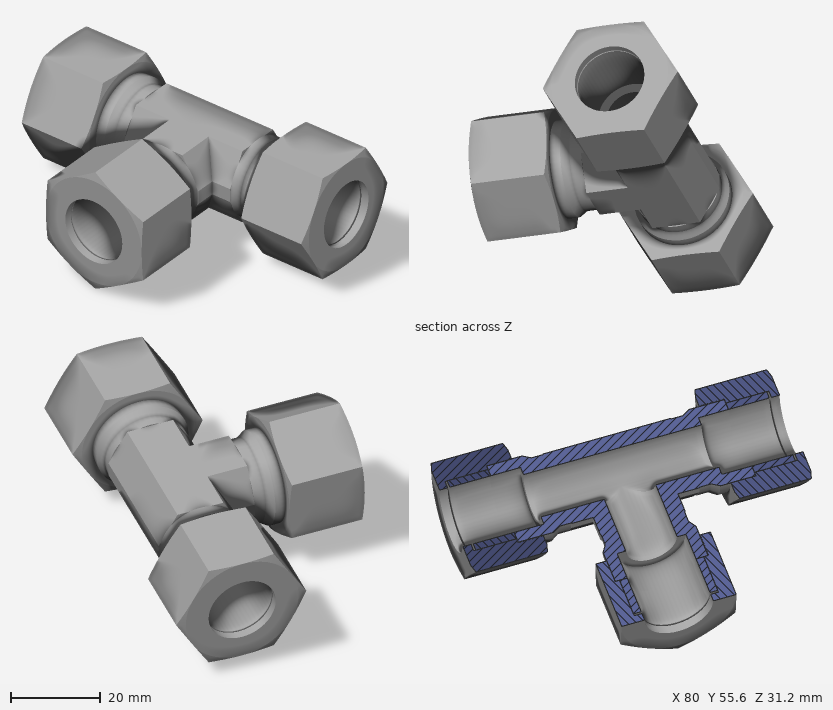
import cadquery as cq
import math

ARM_ANGLES = [0, 180, -90]
NUT_TURNS = [0, 0, 30]
RUN_LENGTH = 80.0
ARM_LENGTH = RUN_LENGTH / 2
COS_30 = math.cos(math.radians(30))

BLOCK_ACROSS_FLATS = 19.0
BLOCK_WIDTH = 20.0
BLOCK_REACH = 15.0

NECK_RADIUS = 9.8
NECK_END = 17.8
THREAD_RADIUS = 22.0 / 2
THREAD_START = 19.6
STUB_END = 28.0

FLOW_RADIUS = 12.0 / 2
TUBE_RADIUS = 16.1 / 2
SOCKET_BOTTOM = 21.0

NUT_LENGTH = 18.0
NUT_START = ARM_LENGTH - NUT_LENGTH
NUT_CORNER_RADIUS = 31.2 / 2
NUT_FACE_RADIUS = NUT_CORNER_RADIUS * COS_30
NUT_CHAMFER_ANGLE = 15.0
NUT_LIP = 2.0
LIP_START = ARM_LENGTH - NUT_LIP

RING_RADIUS = 9.8
RING_GAP = 0.4
RING_END = LIP_START - RING_GAP


def rod(start, end, radius):
    """Round bar along +X between two distances from the centre."""
    return cq.Workplane("YZ", origin=(start, 0, 0)).circle(radius).extrude(end - start)


def hexagon_bar(start, end, corner_radius):
    """Hexagonal bar along +X with flats at the top and bottom."""
    return cq.Workplane("YZ", origin=(start, 0, 0)).polygon(6, 2 * corner_radius).extrude(end - start)


def turn_to_arm(shape, angle):
    return shape.rotate((0, 0, 0), (0, 0, 1), angle)


def block_arm():
    """Half bar of the centre block, with its side corners cut flat."""
    bar = hexagon_bar(0, BLOCK_REACH, BLOCK_ACROSS_FLATS / 2 / COS_30)
    envelope = cq.Workplane("YZ").rect(BLOCK_WIDTH, BLOCK_ACROSS_FLATS).extrude(BLOCK_REACH)
    return bar.intersect(envelope)


def stub():
    """Neck, cone and threaded end, turned about the arm axis."""
    return (
        cq.Workplane("XY")
        .moveTo(BLOCK_REACH, 0)
        .lineTo(BLOCK_REACH, -NECK_RADIUS)
        .lineTo(NECK_END, -NECK_RADIUS)
        .lineTo(THREAD_START, -THREAD_RADIUS)
        .lineTo(STUB_END, -THREAD_RADIUS)
        .lineTo(STUB_END, 0)
        .close()
        .revolve(360, (0, 0, 0), (1, 0, 0))
    )


def tee_body():
    arm = block_arm().union(stub())
    bore = rod(0, STUB_END, FLOW_RADIUS).union(rod(SOCKET_BOTTOM, STUB_END, TUBE_RADIUS))
    body = cq.Workplane("XY")
    for angle in ARM_ANGLES:
        body = body.union(turn_to_arm(arm, angle))
    for angle in ARM_ANGLES:
        body = body.cut(turn_to_arm(bore, angle))
    return body


def nut_blank():
    """Hexagon with conical chamfers on the corners at both ends."""
    chamfer_drop = NUT_CORNER_RADIUS - NUT_FACE_RADIUS
    chamfer_setback = chamfer_drop * math.tan(math.radians(NUT_CHAMFER_ANGLE))
    turned_outline = (
        cq.Workplane("XY")
        .moveTo(NUT_START, 0)
        .lineTo(NUT_START, -NUT_FACE_RADIUS)
        .lineTo(NUT_START + chamfer_setback, -NUT_CORNER_RADIUS)
        .lineTo(ARM_LENGTH - chamfer_setback, -NUT_CORNER_RADIUS)
        .lineTo(ARM_LENGTH, -NUT_FACE_RADIUS)
        .lineTo(ARM_LENGTH, 0)
        .close()
        .revolve(360, (0, 0, 0), (1, 0, 0))
    )
    return hexagon_bar(NUT_START, ARM_LENGTH, NUT_CORNER_RADIUS).intersect(turned_outline)


def union_nut(turn):
    """Nut with a thread bore, a ring pocket and a tube hole through its lip."""
    return (
        nut_blank()
        .rotate((0, 0, 0), (1, 0, 0), turn)
        .cut(rod(NUT_START, STUB_END, THREAD_RADIUS))
        .cut(rod(STUB_END, LIP_START, RING_RADIUS))
        .cut(rod(LIP_START, ARM_LENGTH, TUBE_RADIUS))
    )


def cutting_ring():
    return rod(STUB_END, RING_END, RING_RADIUS).cut(rod(STUB_END, RING_END, TUBE_RADIUS))


body = tee_body()
nuts = [turn_to_arm(union_nut(turn), angle) for turn, angle in zip(NUT_TURNS, ARM_ANGLES)]
rings = [turn_to_arm(cutting_ring(), angle) for angle in ARM_ANGLES]

result = cq.Compound.makeCompound(
    [body.val(), *[nut.val() for nut in nuts], *[ring.val() for ring in rings]]
)